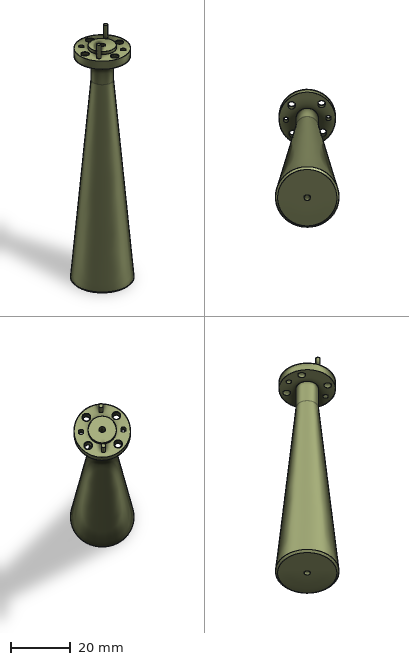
import cadquery as cq

total_height = 93.0
pin_height = 5.1
flange_thickness = 3.1
boss_height = 1.1
neck_length = 8.9
rim_chamfer = 0.7

horn_diameter = 21.4
neck_diameter = 7.6
flange_diameter = 19.0
boss_diameter = 9.5
bore_diameter = 2.05
pin_diameter = 1.5
pin_hole_diameter = 1.8
screw_hole_diameter = 2.5
screw_hole_chamfer = 0.2
bolt_circle_diameter = 14.2

flange_top = total_height - pin_height
flange_bottom = flange_top - flange_thickness
neck_bottom = flange_bottom - neck_length
boss_top = flange_top + boss_height
horn_radius = horn_diameter / 2
neck_radius = neck_diameter / 2
flange_radius = flange_diameter / 2
boss_radius = boss_diameter / 2
bolt_circle_radius = bolt_circle_diameter / 2


def horn_body():
    """Chamfered rim, cone, neck, flange and raised boss turned about Z."""
    profile = [
        (0, 0),
        (horn_radius - rim_chamfer, 0),
        (horn_radius, rim_chamfer),
        (neck_radius, neck_bottom),
        (neck_radius, flange_bottom),
        (flange_radius, flange_bottom),
        (flange_radius, flange_top),
        (boss_radius, flange_top),
        (boss_radius, boss_top),
        (0, boss_top),
    ]
    return cq.Workplane("XZ").polyline(profile).close().revolve(360, (0, 0), (0, 1))


def flange_cylinders(diameter, count, start_angle, top):
    """Equally spaced cylinders on the bolt circle, from the flange underside up to top."""
    return (
        cq.Workplane("XY", origin=(0, 0, flange_bottom))
        .polarArray(bolt_circle_radius, start_angle, 360, count)
        .circle(diameter / 2)
        .extrude(top - flange_bottom)
    )


screw_holes = flange_cylinders(screw_hole_diameter, 4, 0, flange_top)
screw_hole_mouths = (
    cq.Workplane("XY", origin=(0, 0, flange_top - screw_hole_chamfer))
    .polarArray(bolt_circle_radius, 0, 360, 4)
    .circle(screw_hole_diameter / 2)
    .extrude(screw_hole_chamfer, taper=-45)
)

pin_holes = flange_cylinders(pin_hole_diameter, 2, 45, flange_top)
pins = flange_cylinders(pin_diameter, 2, 135, total_height)
bore = cq.Workplane("XY").circle(bore_diameter / 2).extrude(boss_top)

result = horn_body().cut(screw_holes).cut(screw_hole_mouths).cut(pin_holes).union(pins).cut(bore)